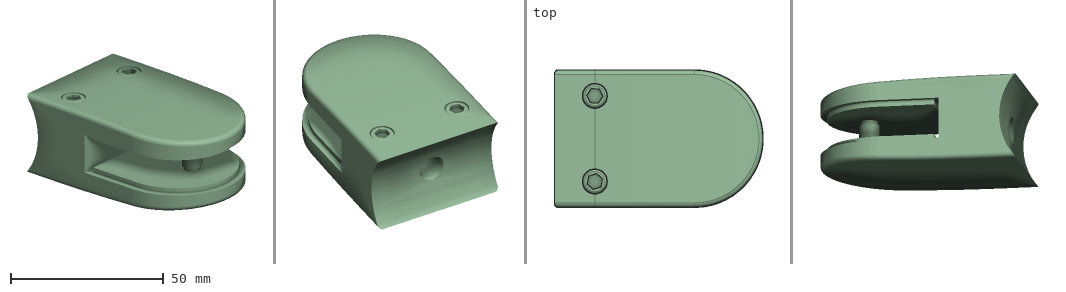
import cadquery as cq
import math

LENGTH = 68.3
WIDTH = 45.0
HEIGHT = 28.0
HALF_WIDTH = WIDTH / 2
HALF_HEIGHT = HEIGHT / 2
NOSE_X = LENGTH - HALF_WIDTH

POST_RADIUS = 21.25
CROWN_START_X = 13.25
CROWN_RADIUS = 676.0
EDGE_FILLET = 1.5

SLOT_START_X = 25.4
SLOT_HALF_GAP = 6.7
PAD_START_X = 27.3
PAD_INSET = 2.05
PAD_HALF_GAP = 5.0
BOLT_HOLE_DIAMETER = 8.95

SCREW_Y = 14.0
SCREW_HOLE_DIAMETER = 8.1
SCREW_HEAD_DIAMETER = 7.9
SCREW_HEAD_FILLET = 0.7
SCREW_RECESS_DEPTH = 2.7
SCREW_SINK = 0.15
HEX_ACROSS_CORNERS = 5.3
HEX_DEPTH = 1.7
SCREWS = [(SCREW_Y, -4.0), (-SCREW_Y, 19.0)]

PIN_X = 52.4
PIN_DIAMETER = 6.7
PIN_LENGTH = 7.45
PIN_NECK_DIAMETER = 5.7


def d_shape(start_x, half_width, bottom_z, top_z):
    """Plate with a square end at start_x and a semicircular end around NOSE_X."""
    return (
        cq.Workplane("XY", origin=(0, 0, bottom_z))
        .moveTo(start_x, -half_width)
        .lineTo(NOSE_X, -half_width)
        .threePointArc((NOSE_X + half_width, 0), (NOSE_X, half_width))
        .lineTo(start_x, half_width)
        .close()
        .extrude(top_z - bottom_z)
    )


def crown_drop(x):
    """Distance that the curved outer face falls below the flat part at x."""
    return CROWN_RADIUS - math.sqrt(CROWN_RADIUS**2 - (x - CROWN_START_X) ** 2)


def side_profile():
    """Full-width prism: flat outer faces that curve toward each other at the nose."""
    middle_x = (CROWN_START_X + LENGTH) / 2
    middle_z = HALF_HEIGHT - crown_drop(middle_x)
    nose_z = HALF_HEIGHT - crown_drop(LENGTH)
    return (
        cq.Workplane("XZ")
        .moveTo(-POST_RADIUS, -HALF_HEIGHT)
        .lineTo(CROWN_START_X, -HALF_HEIGHT)
        .threePointArc((middle_x, -middle_z), (LENGTH, -nose_z))
        .lineTo(LENGTH, nose_z)
        .threePointArc((middle_x, middle_z), (CROWN_START_X, HALF_HEIGHT))
        .lineTo(-POST_RADIUS, HALF_HEIGHT)
        .close()
        .extrude(HALF_WIDTH, both=True)
    )


def make_shell():
    """Outer shape of the closed clamp, with rounded rims and the concave end."""
    blank = d_shape(-POST_RADIUS, HALF_WIDTH, -HALF_HEIGHT, HALF_HEIGHT).intersect(side_profile())
    rims = blank.edges("not(|Z)").edges("not(<X)")
    blank = rims.fillet(EDGE_FILLET)
    post_x = -math.sqrt(POST_RADIUS**2 - HALF_HEIGHT**2)
    post = (
        cq.Workplane("XZ")
        .center(post_x, 0)
        .circle(POST_RADIUS)
        .extrude(WIDTH, both=True)
    )
    beyond_tips = cq.Workplane("XY").box(LENGTH, 2 * WIDTH, 2 * HEIGHT).translate((-LENGTH / 2, 0, 0))
    return blank.cut(post).cut(beyond_tips)


def make_pad(bottom_z, top_z):
    """Raised step that bears on the glass."""
    return d_shape(PAD_START_X, HALF_WIDTH - PAD_INSET, bottom_z, top_z)


def make_base(shell):
    upper_part = cq.Workplane("XY").box(2 * LENGTH, 2 * WIDTH, HEIGHT)
    base = shell.cut(upper_part.translate((0, 0, SLOT_HALF_GAP + HALF_HEIGHT)))
    slot = (
        cq.Workplane("XY")
        .box(LENGTH, 2 * WIDTH, 2 * SLOT_HALF_GAP)
        .translate((SLOT_START_X + LENGTH / 2, 0, 0))
    )
    bolt_hole = cq.Workplane("YZ").circle(BOLT_HOLE_DIAMETER / 2).extrude(SLOT_START_X)
    return base.cut(slot).cut(bolt_hole).union(make_pad(-SLOT_HALF_GAP, -PAD_HALF_GAP))


def make_screw_head(y, hex_turn):
    """Round-edged socket head that stands on the floor of its recess."""
    floor_z = HALF_HEIGHT - SCREW_RECESS_DEPTH
    head = (
        cq.Workplane("XY", origin=(CROWN_START_X, y, floor_z))
        .circle(SCREW_HEAD_DIAMETER / 2)
        .extrude(SCREW_RECESS_DEPTH - SCREW_SINK)
        .faces(">Z")
        .edges()
        .fillet(SCREW_HEAD_FILLET)
    )
    socket = (
        cq.Workplane("XY", origin=(CROWN_START_X, y, HALF_HEIGHT - SCREW_SINK))
        .transformed(rotate=(0, 0, hex_turn))
        .polygon(6, HEX_ACROSS_CORNERS)
        .extrude(-HEX_DEPTH)
    )
    return head.cut(socket)


def make_cover(shell):
    lower_part = cq.Workplane("XY").box(2 * LENGTH, 2 * WIDTH, HEIGHT)
    cover = shell.cut(lower_part.translate((0, 0, SLOT_HALF_GAP - HALF_HEIGHT)))
    cover = cover.union(make_pad(PAD_HALF_GAP, SLOT_HALF_GAP))
    for y, hex_turn in SCREWS:
        recess = (
            cq.Workplane("XY", origin=(CROWN_START_X, y, HALF_HEIGHT))
            .circle(SCREW_HOLE_DIAMETER / 2)
            .extrude(-SCREW_RECESS_DEPTH)
        )
        cover = cover.cut(recess).union(make_screw_head(y, hex_turn))
    return cover


def make_pin():
    """Pin between the two pads, with a narrower neck at each end."""
    neck = (
        cq.Workplane("XY", origin=(PIN_X, 0, -PAD_HALF_GAP))
        .circle(PIN_NECK_DIAMETER / 2)
        .extrude(2 * PAD_HALF_GAP)
    )
    barrel = (
        cq.Workplane("XY", origin=(PIN_X, 0, -PIN_LENGTH / 2))
        .circle(PIN_DIAMETER / 2)
        .extrude(PIN_LENGTH)
    )
    return neck.union(barrel)


shell = make_shell()
base = make_base(shell)
cover = make_cover(shell)
pin = make_pin()

result = cq.Compound.makeCompound([base.val(), cover.val(), pin.val()])